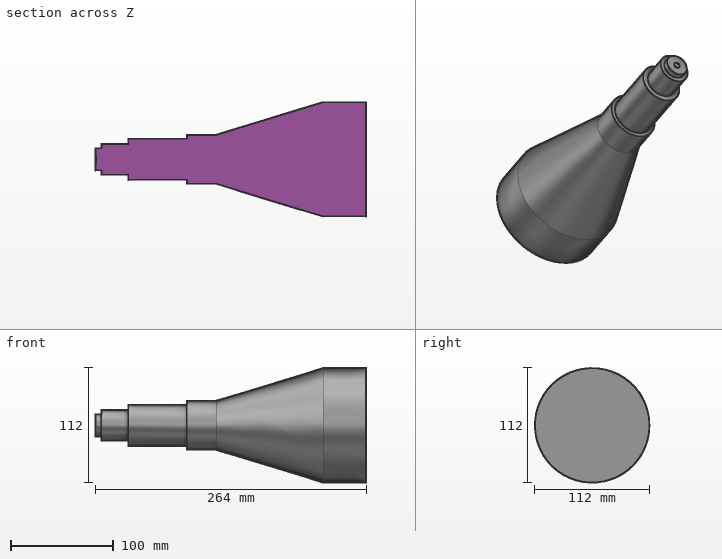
import cadquery as cq

total_length = 264.0
tip_diameter = 22.0
neck_diameter = 30.0
barrel_diameter = 40.5
collar_diameter = 48.0
head_diameter = 112.0

neck_start = 5.8
barrel_start = 32.0
collar_start = 89.3
cone_start = 117.8
head_start = 222.0

recess_diameter = 6.0
recess_depth = 0.5


def cylinder_along_x(start, end, diameter):
    """Cylinder on the X axis between two axial positions."""
    return cq.Workplane("YZ", origin=(start, 0, 0)).circle(diameter / 2).extrude(end - start)


def cone_section():
    """Taper widening from the collar to the head."""
    profile = (
        cq.Workplane("XY")
        .moveTo(cone_start, 0)
        .lineTo(cone_start, collar_diameter / 2)
        .lineTo(head_start, head_diameter / 2)
        .lineTo(head_start, 0)
        .close()
    )
    return profile.revolve(360, (0, 0, 0), (1, 0, 0))


body = cone_section()
for start, end, diameter in (
    (0, neck_start, tip_diameter),
    (neck_start, barrel_start, neck_diameter),
    (barrel_start, collar_start, barrel_diameter),
    (collar_start, cone_start, collar_diameter),
    (head_start, total_length, head_diameter),
):
    body = body.union(cylinder_along_x(start, end, diameter))

result = body.cut(cylinder_along_x(0, recess_depth, recess_diameter))